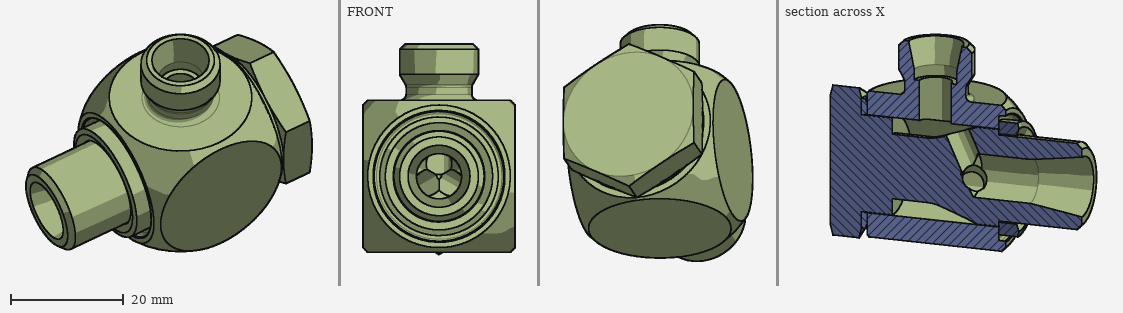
import cadquery as cq
import math


side = 27.0
half_side = side / 2
housing_front = -half_side
housing_rear = 13.0
ball_radius = 18.5
bore_diameter = 18.0

recess_diameter = 23.0
recess_depth = 1.4
recess_fillet = 0.4
recess_chamfer = 0.2

spout_top = 23.45
spout_diameter = 14.0
spout_tip_chamfer = 1.0
spout_head_bottom = 18.05
spout_neck_diameter = 11.7
spout_taper_angle = 30.0
spout_taper_fillet = 1.0
spout_base_fillet = 1.0
spout_bore_diameter = 6.0
spout_mouth_diameter = 10.15
tube_diameter = 8.0
tube_cone_half_angle = 12.0
tube_stop_depth = 7.0

head_rear = 20.0
head_height = 6.0
head_front = head_rear - head_height
head_width = 24.0
head_chamfer_angle = 15.0
shank_diameter = 17.95
stud_diameter = 16.0
stud_end = -28.0
stud_chamfer = 1.0
neck_diameter = 12.0
neck_rear = 8.1
neck_cone_angle = 20.0
neck_arc_radius = 8.0
neck_arc_start = 1.6
bolt_bore_diameter = 8.0
bolt_bore_end = -7.3
bolt_mouth_diameter = 11.0
bolt_mouth_half_angle = 8.5
drill_tip_angle = 118.0
port_count = 3
port_diameter = 4.5
port_axis_y = -7.8
port_lean_angle = 25.0
port_length = 12.0

port_ring_diameter = 21.0
port_ring_bore = 16.2
port_ring_rear = housing_front + recess_depth
port_ring_tip = -16.0
sealing_edge_diameter = 19.0
edge_outer_angle = 14.0
edge_inner_angle = 19.0

head_ring_diameter = head_width
head_ring_face_diameter = 22.45
head_ring_chamfer_angle = 70.0


def tangent(degrees):
    return math.tan(math.radians(degrees))


def revolve(profile):
    """Close a profile of (radius, place along the axis) and turn it about that axis."""
    return profile.close().revolve(360, (0, 0, 0), (0, 1, 0))


def make_housing_block():
    length = housing_rear - housing_front
    middle = (housing_rear + housing_front) / 2
    block = cq.Workplane("XY").box(side, length, side).translate((0, middle, 0))
    return block.intersect(cq.Workplane("XY").sphere(ball_radius))


def make_spout():
    head_radius = spout_diameter / 2
    neck_radius = spout_neck_diameter / 2
    taper_bottom = spout_head_bottom - (head_radius - neck_radius) / tangent(spout_taper_angle)

    turn = math.radians(spout_taper_angle)
    tangent_length = spout_taper_fillet * math.tan(turn / 2)
    fillet_bottom = taper_bottom - tangent_length
    fillet_top = (
        neck_radius + tangent_length * math.sin(turn),
        taper_bottom + tangent_length * math.cos(turn),
    )
    fillet_middle = (
        neck_radius + spout_taper_fillet * (1 - math.cos(turn / 2)),
        fillet_bottom + spout_taper_fillet * math.sin(turn / 2),
    )

    base_reach = spout_base_fillet * (1 - math.sqrt(0.5))
    profile = (
        cq.Workplane("XZ")
        .moveTo(0, 0)
        .lineTo(neck_radius + spout_base_fillet, 0)
        .lineTo(neck_radius + spout_base_fillet, half_side)
        .threePointArc(
            (neck_radius + base_reach, half_side + base_reach),
            (neck_radius, half_side + spout_base_fillet),
        )
        .lineTo(neck_radius, fillet_bottom)
        .threePointArc(fillet_middle, fillet_top)
        .lineTo(head_radius, spout_head_bottom)
        .lineTo(head_radius, spout_top - spout_tip_chamfer)
        .lineTo(head_radius - spout_tip_chamfer, spout_top)
        .lineTo(0, spout_top)
    )
    return revolve(profile)


def make_spout_bore():
    mouth_radius = spout_mouth_diameter / 2
    tube_radius = tube_diameter / 2
    bore_radius = spout_bore_diameter / 2
    cone_bottom = spout_top - (mouth_radius - tube_radius) / tangent(tube_cone_half_angle)
    tube_stop = spout_top - tube_stop_depth
    profile = (
        cq.Workplane("XZ")
        .moveTo(0, 0)
        .lineTo(bore_radius, 0)
        .lineTo(bore_radius, tube_stop)
        .lineTo(tube_radius, tube_stop)
        .lineTo(tube_radius, cone_bottom)
        .lineTo(mouth_radius, spout_top)
        .lineTo(0, spout_top)
    )
    return revolve(profile)


def make_bolt_bore():
    """Bolt hole through the housing, with the ring recess at its front."""
    bore_radius = bore_diameter / 2
    recess_radius = recess_diameter / 2
    floor = housing_front + recess_depth
    fillet_reach = recess_fillet * (1 - math.sqrt(0.5))
    profile = (
        cq.Workplane("XY")
        .moveTo(0, housing_rear)
        .lineTo(bore_radius, housing_rear)
        .lineTo(bore_radius, floor)
        .lineTo(recess_radius - recess_fillet, floor)
        .threePointArc(
            (recess_radius - fillet_reach, floor - fillet_reach),
            (recess_radius, floor - recess_fillet),
        )
        .lineTo(recess_radius, housing_front + recess_chamfer)
        .lineTo(recess_radius + recess_chamfer, housing_front)
        .lineTo(0, housing_front)
    )
    return revolve(profile)


def make_housing():
    housing = make_housing_block().union(make_spout())
    return housing.cut(make_spout_bore()).cut(make_bolt_bore())


def make_bolt_head():
    """Hexagon with two corners on the Z axis, its corners turned down at both ends."""
    corner_diameter = head_width / math.cos(math.pi / 6)
    hexagon = (
        cq.Workplane("XZ", origin=(0, head_rear, 0))
        .transformed(rotate=(0, 0, 90))
        .polygon(6, corner_diameter)
        .extrude(head_height)
    )
    face_radius = head_width / 2
    corner_radius = corner_diameter / 2
    chamfer_length = (corner_radius - face_radius) * tangent(head_chamfer_angle)
    envelope = (
        cq.Workplane("XY")
        .moveTo(0, head_front)
        .lineTo(face_radius, head_front)
        .lineTo(corner_radius, head_front + chamfer_length)
        .lineTo(corner_radius, head_rear - chamfer_length)
        .lineTo(face_radius, head_rear)
        .lineTo(0, head_rear)
    )
    return hexagon.intersect(revolve(envelope))


def make_bolt_shaft():
    """Shank, waisted neck and stud. The neck widens to the front in an arc and a cone."""
    shank_radius = shank_diameter / 2
    stud_radius = stud_diameter / 2
    neck_radius = neck_diameter / 2
    slope = math.radians(neck_cone_angle)

    arc_middle = (
        neck_radius + neck_arc_radius * (1 - math.cos(slope / 2)),
        neck_arc_start - neck_arc_radius * math.sin(slope / 2),
    )
    arc_end_radius = neck_radius + neck_arc_radius * (1 - math.cos(slope))
    arc_end = neck_arc_start - neck_arc_radius * math.sin(slope)
    cone_front = arc_end - (shank_radius - arc_end_radius) / math.tan(slope)

    profile = (
        cq.Workplane("XY")
        .moveTo(0, head_front)
        .lineTo(shank_radius, head_front)
        .lineTo(shank_radius, neck_rear)
        .lineTo(neck_radius, neck_rear)
        .lineTo(neck_radius, neck_arc_start)
        .threePointArc(arc_middle, (arc_end_radius, arc_end))
        .lineTo(shank_radius, cone_front)
        .lineTo(shank_radius, port_ring_rear)
        .lineTo(stud_radius, port_ring_rear)
        .lineTo(stud_radius, stud_end + stud_chamfer)
        .lineTo(stud_radius - stud_chamfer, stud_end)
        .lineTo(0, stud_end)
    )
    return revolve(profile)


def make_bolt_channel():
    """Blind bore with a drill tip, opening in a taper at the stud end."""
    bore_radius = bolt_bore_diameter / 2
    mouth_radius = bolt_mouth_diameter / 2
    tip = bolt_bore_end + bore_radius / tangent(drill_tip_angle / 2)
    cone_end = stud_end + (mouth_radius - bore_radius) / tangent(bolt_mouth_half_angle)
    profile = (
        cq.Workplane("XY")
        .moveTo(0, stud_end)
        .lineTo(mouth_radius, stud_end)
        .lineTo(bore_radius, cone_end)
        .lineTo(bore_radius, bolt_bore_end)
        .lineTo(0, tip)
    )
    return revolve(profile)


def make_port(turn):
    """Port from the bolt axis out through the neck cone, leaning to the rear."""
    lean = math.radians(port_lean_angle)
    start = cq.Vector(0, port_axis_y, 0)
    direction = cq.Vector(0, math.sin(lean), math.cos(lean))
    port = cq.Solid.makeCylinder(port_diameter / 2, port_length, start, direction)
    return port.rotate(cq.Vector(0, 0, 0), cq.Vector(0, 1, 0), turn)


def make_bolt():
    bolt = make_bolt_head().union(make_bolt_shaft()).cut(make_bolt_channel())
    for index in range(port_count):
        bolt = bolt.cut(cq.Workplane(make_port(index * 360 / port_count)))
    return bolt


def make_port_ring():
    outer_radius = port_ring_diameter / 2
    inner_radius = port_ring_bore / 2
    edge_radius = sealing_edge_diameter / 2
    outer_drop = (outer_radius - edge_radius) * tangent(edge_outer_angle)
    inner_drop = (edge_radius - inner_radius) * tangent(edge_inner_angle)
    profile = (
        cq.Workplane("XY")
        .moveTo(inner_radius, port_ring_rear)
        .lineTo(outer_radius, port_ring_rear)
        .lineTo(outer_radius, port_ring_tip + outer_drop)
        .lineTo(edge_radius, port_ring_tip)
        .lineTo(inner_radius, port_ring_tip + inner_drop)
    )
    return revolve(profile)


def make_head_ring():
    outer_radius = head_ring_diameter / 2
    inner_radius = bore_diameter / 2
    face_radius = head_ring_face_diameter / 2
    chamfer_length = (outer_radius - face_radius) / tangent(head_ring_chamfer_angle)
    profile = (
        cq.Workplane("XY")
        .moveTo(inner_radius, head_front)
        .lineTo(outer_radius, head_front)
        .lineTo(outer_radius, housing_rear + chamfer_length)
        .lineTo(face_radius, housing_rear)
        .lineTo(inner_radius, housing_rear)
    )
    return revolve(profile)


housing = make_housing()
bolt = make_bolt()
port_ring = make_port_ring()
head_ring = make_head_ring()

result = cq.Compound.makeCompound([housing.val(), bolt.val(), port_ring.val(), head_ring.val()])